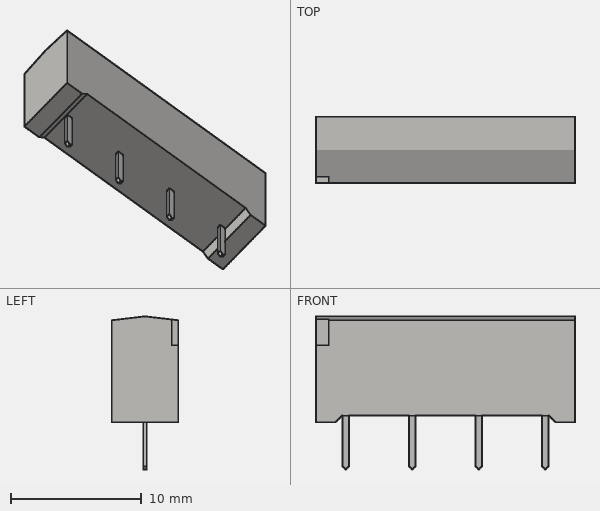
import cadquery as cq

body_length = 19.8
body_width = 5.08
body_height = 8.1
roof_rise = 0.3
standoff = 0.5
foot_length = 1.5
foot_chamfer = 0.5

notch_length = 1.0
notch_width = 0.5
notch_depth = 1.9

total_height = 11.71
pin_count = 4
pin_pitch = 5.08
pin_width = 0.5
pin_thickness = 0.3
pin_tip_length = 0.25
pin_tip_z = body_height - total_height

half_length = body_length / 2
half_width = body_width / 2
wall_height = body_height - roof_rise


def make_body():
    """Box with a shallow gabled roof along X, resting on a foot at each end."""
    gable = [
        (-half_width, 0),
        (half_width, 0),
        (half_width, wall_height),
        (0, body_height),
        (-half_width, wall_height),
    ]
    block = cq.Workplane("YZ").polyline(gable).close().extrude(half_length, both=True)

    foot_inner_x = half_length - foot_length
    underside_x = foot_inner_x - foot_chamfer
    relief = [
        (-foot_inner_x, 0),
        (foot_inner_x, 0),
        (underside_x, standoff),
        (-underside_x, standoff),
    ]
    relief_cut = cq.Workplane("XZ").polyline(relief).close().extrude(half_width, both=True)
    return block.cut(relief_cut)


def make_notch():
    """Cutter for the marker notch at the -X, -Y top corner."""
    return cq.Workplane("XY").box(
        notch_length, notch_width, notch_depth + roof_rise, centered=False
    ).translate((-half_length, -half_width, wall_height - notch_depth))


def make_pin(x):
    """Flat pin with a pointed tip, hanging from the underside at the given X."""
    shoulder_z = pin_tip_z + pin_tip_length
    outline = [
        (x - pin_width / 2, standoff),
        (x - pin_width / 2, shoulder_z),
        (x, pin_tip_z),
        (x + pin_width / 2, shoulder_z),
        (x + pin_width / 2, standoff),
    ]
    return cq.Workplane("XZ").polyline(outline).close().extrude(pin_thickness / 2, both=True)


result = make_body().cut(make_notch())
for index in range(pin_count):
    pin_x = (index - (pin_count - 1) / 2) * pin_pitch
    result = result.union(make_pin(pin_x))